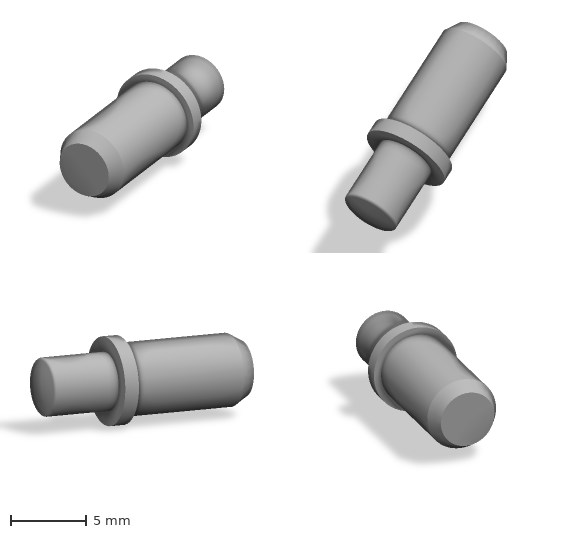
import cadquery as cq
import math

total_length = 15.0
body_length = 9.0
collar_length = 1.0
chamfer_length = 1.0

end_diameter = 3.82
body_diameter = 4.95
collar_diameter = 6.0
tip_diameter = 3.96

dome_radius = 6.0
edge_radius = 0.2

body_radius = body_diameter / 2
collar_radius = collar_diameter / 2
tip_radius = tip_diameter / 2
end_radius = end_diameter / 2
collar_end = body_length + collar_length

dome_center = total_length - dome_radius
edge_center_x = tip_radius - edge_radius
edge_center_y = dome_center + math.sqrt((dome_radius - edge_radius) ** 2 - edge_center_x**2)
dome_edge_angle = math.atan2(edge_center_y - dome_center, edge_center_x)


def point_on_arc(center_x, center_y, radius, angle):
    return (center_x + radius * math.cos(angle), center_y + radius * math.sin(angle))


dome_edge = point_on_arc(0, dome_center, dome_radius, dome_edge_angle)
dome_middle = point_on_arc(0, dome_center, dome_radius, (dome_edge_angle + math.pi / 2) / 2)
edge_middle = point_on_arc(edge_center_x, edge_center_y, edge_radius, dome_edge_angle / 2)

half_profile = (
    cq.Workplane("XY")
    .moveTo(0, 0)
    .lineTo(end_radius, 0)
    .lineTo(body_radius, chamfer_length)
    .lineTo(body_radius, body_length)
    .lineTo(collar_radius, body_length)
    .lineTo(collar_radius, collar_end)
    .lineTo(tip_radius, collar_end)
    .lineTo(tip_radius, edge_center_y)
    .threePointArc(edge_middle, dome_edge)
    .threePointArc(dome_middle, (0, total_length))
    .close()
)

result = half_profile.revolve(360, (0, 0, 0), (0, 1, 0))